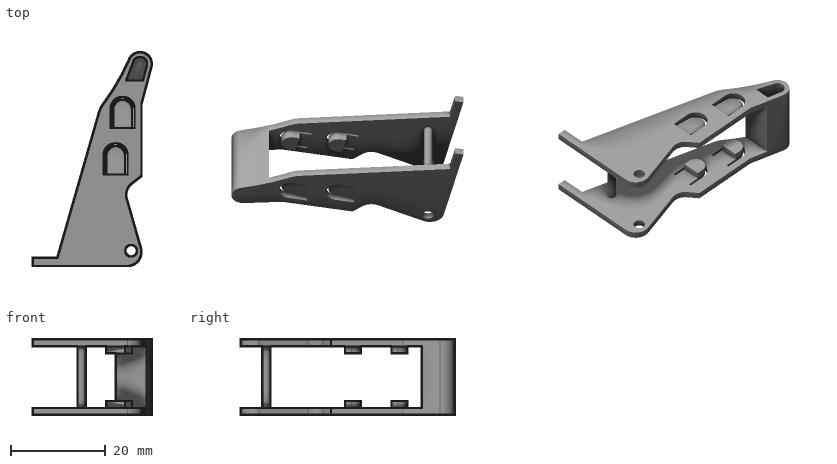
import cadquery as cq
import math

height = 16.0
plate_thickness = 1.5
half_height = height / 2
plate_inner_z = half_height - plate_thickness

foot_width = 1.8
foot_length = 5.2
side_slope = math.radians(16)
back_x = 23.0
heel_radius = 3.0
heel_center = (back_x - heel_radius, heel_radius)
notch_corner_x = 19.34
notch_corner_y = 16.17
notch_top_y = 19.02
notch_radius = 3.0
shoulder_y = 33.4
shoulder_radius = 5.0

tip_radius = 2.5
tip_center = (22.68, 42.7)
tip_front_slope = math.radians(23.6)
tip_back_slope = math.radians(15)
tip_wall_start_y = 38.2
tip_wall = 1.0

pocket_radius = tip_radius - tip_wall
pocket_front_slope = math.radians(20.7)
pocket_start_y = tip_wall_start_y + tip_wall
pocket_floor = plate_thickness

tongue_arc_centers = [(19.0, 33.2), (17.53, 23.4)]
tongue_radius = 2.0
tongue_gap = 0.5
window_radius = tongue_radius + tongue_gap
tongue_straight = 4.0
tongue_root_thickness = 1.2
tongue_tip_thickness = 0.45
pad_straight = 1.4
pad_height = 1.5

hole_diameter = 2.4
hole_center = (20.8, 3.25)
pin_diameter = 1.8
pin_center = (10.35, 5.43)


def on_circle(center, radius, angle):
    """Point on a circle at an angle measured from +X."""
    return (center[0] + radius * math.cos(angle), center[1] + radius * math.sin(angle))


def x_on_slope(point, slope, y):
    """X at height y on the line through point that leans by slope from the Y axis."""
    return point[0] + (y - point[1]) * math.tan(slope)


def make_profile():
    """Full-height prism of the plate outline."""
    heel_start = (heel_center[0], 0)
    heel_middle = on_circle(heel_center, heel_radius, -math.pi / 4)
    heel_end = on_circle(heel_center, heel_radius, side_slope)
    tip_start = on_circle(tip_center, tip_radius, -tip_back_slope)
    tip_middle = on_circle(tip_center, tip_radius, math.pi / 2)
    tip_end = on_circle(tip_center, tip_radius, math.pi - tip_front_slope)
    back_top_y = tip_start[1] - (tip_start[0] - back_x) / math.tan(tip_back_slope)
    foot_corner = (foot_length, foot_width)
    shoulder = (x_on_slope(foot_corner, side_slope, shoulder_y), shoulder_y)
    notch_corner = (notch_corner_x, notch_corner_y)

    prism = (
        cq.Workplane("XY")
        .workplane(offset=-half_height)
        .moveTo(0, 0)
        .lineTo(*heel_start)
        .threePointArc(heel_middle, heel_end)
        .lineTo(*notch_corner)
        .lineTo(back_x, notch_top_y)
        .lineTo(back_x, back_top_y)
        .lineTo(*tip_start)
        .threePointArc(tip_middle, tip_end)
        .tangentArcPoint(shoulder, relative=False)
        .lineTo(*foot_corner)
        .lineTo(0, foot_width)
        .close()
        .extrude(height)
    )
    for corner, radius in ((notch_corner, notch_radius), (shoulder, shoulder_radius)):
        prism = prism.edges(cq.NearestToPointSelector((*corner, 0))).fillet(radius)
    return prism


def make_space_between_plates():
    """Box wider than the plates along X, up to the tip wall."""
    return cq.Workplane("XY").box(
        2 * back_x, tip_wall_start_y, 2 * plate_inner_z, centered=(False, False, True)
    )


def round_ended(arc_center, radius, straight, z_start, z_end):
    """Prism with a half-round +Y end and a flat -Y end."""
    x, y = arc_center
    return (
        cq.Workplane("XY")
        .workplane(offset=z_start)
        .moveTo(x - radius, y - straight)
        .lineTo(x + radius, y - straight)
        .lineTo(x + radius, y)
        .threePointArc((x, y + radius), (x - radius, y))
        .close()
        .extrude(z_end - z_start)
    )


def make_tip_pocket():
    """Pocket open at the upper face, round at its +Y end and flat at its -Y end."""
    right_end = on_circle(tip_center, pocket_radius, -tip_back_slope)
    left_end = on_circle(tip_center, pocket_radius, math.pi - pocket_front_slope)
    top = on_circle(tip_center, pocket_radius, math.pi / 2)
    return (
        cq.Workplane("XY")
        .workplane(offset=pocket_floor - half_height)
        .moveTo(x_on_slope(left_end, pocket_front_slope, pocket_start_y), pocket_start_y)
        .lineTo(x_on_slope(right_end, tip_back_slope, pocket_start_y), pocket_start_y)
        .lineTo(*right_end)
        .threePointArc(top, left_end)
        .close()
        .extrude(height - pocket_floor)
    )


def make_upper_tongue(arc_center):
    """Tongue that thins from its flat root to its rounded tip, with the pad under its free end."""
    root_y = arc_center[1] - tongue_straight
    tip_y = arc_center[1] + tongue_radius
    taper = (
        cq.Workplane("YZ")
        .moveTo(root_y, plate_inner_z)
        .lineTo(tip_y, plate_inner_z)
        .lineTo(tip_y, plate_inner_z + tongue_tip_thickness)
        .lineTo(root_y, plate_inner_z + tongue_root_thickness)
        .close()
        .extrude(2 * back_x)
    )
    tongue = round_ended(
        arc_center, tongue_radius, tongue_straight, plate_inner_z, half_height
    ).intersect(taper)
    pad = round_ended(
        arc_center, tongue_radius, pad_straight, plate_inner_z - pad_height, plate_inner_z
    )
    return tongue.union(pad)


def upright_cylinder(center, diameter, length):
    """Cylinder along Z, centred on the middle plane between the plates."""
    return cq.Workplane("XY").center(*center).circle(diameter / 2).extrude(length / 2, both=True)


body = make_profile().cut(make_space_between_plates())
body = body.cut(make_tip_pocket())
body = body.cut(upright_cylinder(hole_center, hole_diameter, height))

for center in tongue_arc_centers:
    body = body.cut(round_ended(center, window_radius, tongue_straight, -half_height, half_height))
    upper_tongue = make_upper_tongue(center)
    body = body.union(upper_tongue).union(upper_tongue.mirror("XY"))

result = body.union(upright_cylinder(pin_center, pin_diameter, 2 * plate_inner_z))